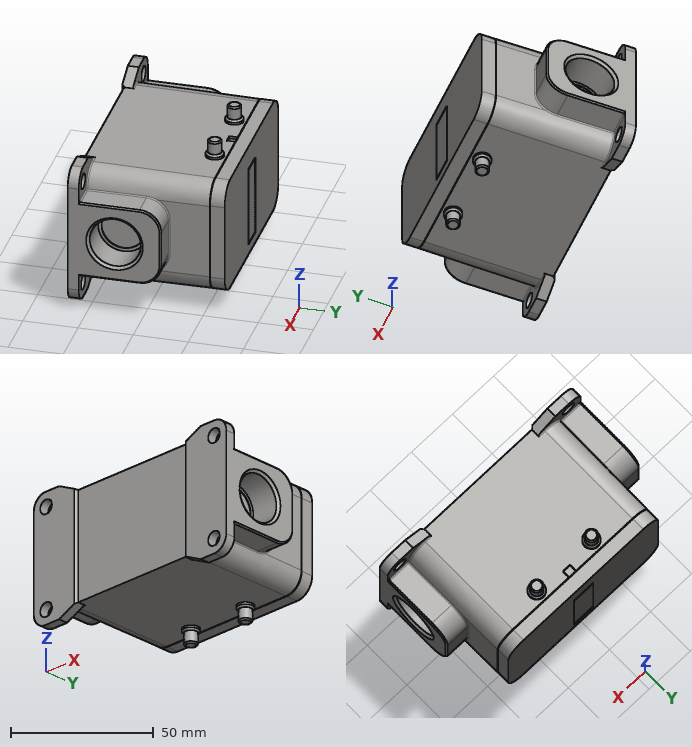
import cadquery as cq


LENGTH = 94.0
FLANGE_HEIGHT = 51.9
FLANGE_REACH = 20.9
FLANGE_THICKNESS = 4.0
FLANGE_FLAT = 12.4
FLANGE_CORNER = 5.8
FLANGE_INNER_CHAMFER = 1.0
MOUNT_HOLE_DIAMETER = 5.6
MOUNT_HOLE_INSET = 6.0
MOUNT_HOLE_SPACING = 40.0

BASE_SETBACK = 0.9
RIM_LEVEL = 48.7
BASE_LENGTH = 74.0
BASE_HEIGHT = 43.8
BASE_CORNER = 7.9
DRAFT_ANGLE = 0.5
FOOT_FILLET = 0.5

ENTRY_WIDTH = 29.1
ENTRY_TOP = 33.8
ENTRY_CORNER = 8.0
ENTRY_EDGE_CHAMFER = 0.6
BORE_LEVEL = 17.0
BORE_DIAMETER = 18.5
BORE_MOUTH_DIAMETER = 20.6
BORE_DEPTH = 12.2
KNOCKOUT_DIAMETER = 16.0
KNOCKOUT_DEPTH = 0.3

NOTCH_WIDTH = 3.4
NOTCH_LENGTH = 3.1
NOTCH_DEPTH = 0.9

COVER_LENGTH = 72.9
COVER_HEIGHT = 43.05
COVER_CORNER = 7.3
COVER_TOP = 54.1
SEAM_GAP = 0.2
SEAM_INSET = 0.1

LABEL_WIDTH = 9.4
LABEL_LOW_Z = -17.1
LABEL_HIGH_Z = 12.6
LABEL_RISE = 0.2

PIN_SPACING = 26.6
PIN_LEVEL = 44.4
PIN_TIP = 27.9
PIN_DIAMETER = 5.0
PIN_TIP_CHAMFER = 0.6
COLLAR_DIAMETER = 6.6
COLLAR_TOP = 23.1
COLLAR_CHAMFER = 0.75
PIN_SEAT = 20.7

SIDES = (-1, 1)
HALF_LENGTH = LENGTH / 2


def plan_at(level):
    """Sketch plane at height Y = level, with its normal along +Y, local x = X and local y = -Z."""
    return cq.Workplane(cq.Plane(origin=(0, level, 0), xDir=(1, 0, 0), normal=(0, 1, 0)))


def rounded_block(bottom, top, length, height, corner, draft=0.0):
    outline = cq.Sketch().rect(length, height).vertices().fillet(corner)
    return plan_at(bottom).placeSketch(outline).extrude(top - bottom, taper=draft)


def on_both_ends(shape):
    return shape.union(shape.mirror("YZ"))


def make_flange_column():
    """Footprint of the -X flange carried up to the rim: rounded outer corners, tapering to the box height."""
    outer_x = -HALF_LENGTH
    flat_x = outer_x + FLANGE_FLAT
    inner_x = outer_x + FLANGE_REACH
    half_height = FLANGE_HEIGHT / 2
    half_box = BASE_HEIGHT / 2
    outline = [
        (outer_x, -half_height),
        (flat_x, -half_height),
        (inner_x, -half_box),
        (inner_x, half_box),
        (flat_x, half_height),
        (outer_x, half_height),
    ]
    column = plan_at(0).polyline(outline).close().extrude(RIM_LEVEL)
    column = column.edges("|Y and <X").fillet(FLANGE_CORNER)
    return column.edges("|Z and >X and <Y").chamfer(FLANGE_INNER_CHAMFER)


def make_mount_holes():
    hole_x = HALF_LENGTH - MOUNT_HOLE_INSET
    hole_z = MOUNT_HOLE_SPACING / 2
    centres = [(x_side * hole_x, z_side * hole_z) for x_side in SIDES for z_side in SIDES]
    return plan_at(0).pushPoints(centres).circle(MOUNT_HOLE_DIAMETER / 2).extrude(FLANGE_THICKNESS)


def make_entry():
    """Cable entry block from the -X end into the box, standing on the flange."""
    depth = HALF_LENGTH - BASE_LENGTH / 2 + BASE_CORNER
    return (
        cq.Workplane("YZ", origin=(-HALF_LENGTH, 0, 0))
        .center(ENTRY_TOP / 2, 0)
        .rect(ENTRY_TOP, ENTRY_WIDTH)
        .extrude(depth)
        .edges("|X and >Y")
        .fillet(ENTRY_CORNER)
        .faces("<X")
        .edges("not <Y")
        .chamfer(ENTRY_EDGE_CHAMFER)
    )


def make_entry_bore():
    """Blind bore with a chamfered mouth and a shallow knock-out disc in its floor."""
    bore_radius = BORE_DIAMETER / 2
    mouth_radius = BORE_MOUTH_DIAMETER / 2
    knockout_radius = KNOCKOUT_DIAMETER / 2
    floor_x = BORE_DEPTH - HALF_LENGTH
    knockout_x = floor_x + KNOCKOUT_DEPTH
    profile = [
        (-HALF_LENGTH, 0),
        (-HALF_LENGTH, mouth_radius),
        (-HALF_LENGTH + mouth_radius - bore_radius, bore_radius),
        (floor_x, bore_radius),
        (floor_x, knockout_radius),
        (knockout_x, knockout_radius),
        (knockout_x, 0),
    ]
    bore = cq.Workplane("XY").polyline(profile).close().revolve(360, (0, 0, 0), (1, 0, 0))
    return bore.translate((0, BORE_LEVEL, 0))


def make_notch():
    rim_z = COVER_HEIGHT / 2
    return cq.Workplane().box(NOTCH_WIDTH, NOTCH_LENGTH, 2 * NOTCH_DEPTH).translate(
        (0, RIM_LEVEL - NOTCH_LENGTH / 2, rim_z)
    )


def make_pin(x, side):
    """Pin pointing along +Z or -Z, with its collar seated in the wall of the housing."""
    def turned(diameter, tip, chamfer):
        seat = cq.Workplane().workplane(offset=PIN_SEAT)
        return seat.circle(diameter / 2).extrude(tip - PIN_SEAT).faces(">Z").chamfer(chamfer)

    collar = turned(COLLAR_DIAMETER, COLLAR_TOP, COLLAR_CHAMFER)
    pin = collar.union(turned(PIN_DIAMETER, PIN_TIP, PIN_TIP_CHAMFER))
    if side < 0:
        pin = pin.mirror("XY")
    return pin.translate((x, PIN_LEVEL, 0))


def inner_corner_edges(solid):
    """Edges where the box and the entries rise from the flange, and where the entries meet the box."""
    margin = 0.9
    wall_x = BASE_LENGTH / 2
    half_entry = ENTRY_WIDTH / 2 + margin
    half_box = BASE_HEIGHT / 2 + margin
    low = FLANGE_THICKNESS - FOOT_FILLET
    high = FLANGE_THICKNESS + FOOT_FILLET
    end_x = HALF_LENGTH - ENTRY_EDGE_CHAMFER
    regions = [((-end_x, low, -half_box), (end_x, high, half_box))]
    for side in SIDES:
        regions.append(
            (
                (side * wall_x - margin, high, -half_entry),
                (side * wall_x + margin, ENTRY_TOP + margin, half_entry),
            )
        )
    found = []
    for corner, opposite in regions:
        found += solid.edges(cq.selectors.BoxSelector(corner, opposite)).vals()
    return found


def make_casting():
    """Box, entries and flanges in one piece, with filleted inner corners."""
    box = rounded_block(BASE_SETBACK, RIM_LEVEL, BASE_LENGTH, BASE_HEIGHT, BASE_CORNER, DRAFT_ANGLE)
    plate = plan_at(0).rect(LENGTH, FLANGE_HEIGHT).extrude(FLANGE_THICKNESS)
    blank = box.union(plate).union(on_both_ends(make_entry()))
    blank = blank.newObject(inner_corner_edges(blank)).fillet(FOOT_FILLET)
    return blank.intersect(on_both_ends(make_flange_column()).union(box))


def make_housing(pins):
    housing = make_casting().cut(make_mount_holes())
    housing = housing.cut(on_both_ends(make_entry_bore())).cut(make_notch())
    for pin in pins:
        housing = housing.cut(pin)
    return housing


def make_cover():
    cover = rounded_block(RIM_LEVEL + SEAM_GAP, COVER_TOP, COVER_LENGTH, COVER_HEIGHT, COVER_CORNER)
    neck = rounded_block(
        RIM_LEVEL,
        RIM_LEVEL + SEAM_GAP,
        COVER_LENGTH - 2 * SEAM_INSET,
        COVER_HEIGHT - 2 * SEAM_INSET,
        COVER_CORNER - SEAM_INSET,
    )
    label_centre = (LABEL_LOW_Z + LABEL_HIGH_Z) / 2
    label = (
        plan_at(COVER_TOP)
        .center(0, -label_centre)
        .rect(LABEL_WIDTH, LABEL_HIGH_Z - LABEL_LOW_Z)
        .extrude(LABEL_RISE)
    )
    return cover.union(neck).union(label)


pins = [make_pin(column * PIN_SPACING / 2, side) for column in SIDES for side in SIDES]
housing = make_housing(pins)
cover = make_cover()

result = cq.Compound.makeCompound([body.solids().val() for body in (housing, cover, *pins)])